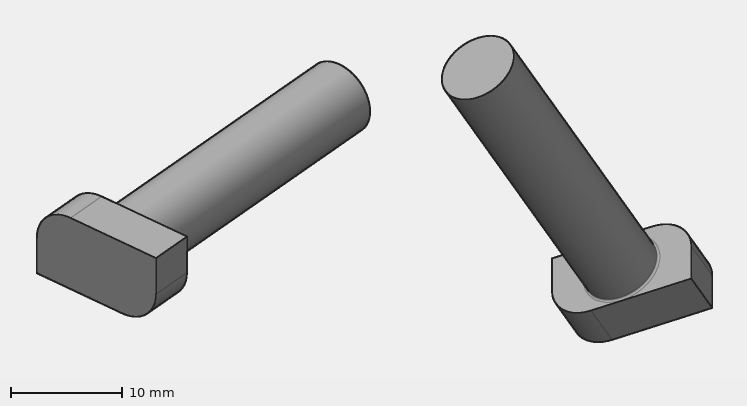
import cadquery as cq

total_length = 34.4
head_width = 13.9
head_height = 7.8
head_thickness = 4.4
corner_radius = head_height / 2
shank_diameter = 7.2
neck_fillet = 0.2


def make_head():
    """Rectangular head with two diagonally opposite corners rounded."""
    block = cq.Workplane("XY").box(
        head_width, head_thickness, head_height, centered=(True, False, True)
    )
    upper_left = cq.selectors.BoxSelector(
        (-head_width, 0, 0), (0, head_thickness, head_height)
    )
    lower_right = cq.selectors.BoxSelector(
        (0, 0, -head_height), (head_width, head_thickness, 0)
    )
    corners = cq.selectors.SumSelector(upper_left, lower_right)
    return block.edges("|Y").edges(corners).fillet(corner_radius)


def add_shank(head):
    """Round shank centred on the back of the head, blended in by a small fillet."""
    shank = (
        cq.Workplane("XZ", origin=(0, head_thickness, 0))
        .circle(shank_diameter / 2)
        .extrude(-(total_length - head_thickness))
    )
    neck_zone = cq.selectors.BoxSelector(
        (-shank_diameter / 4, head_thickness - neck_fillet, -shank_diameter / 4),
        (shank_diameter / 4, head_thickness + neck_fillet, shank_diameter / 4),
    )
    return head.union(shank).edges("%CIRCLE").edges(neck_zone).fillet(neck_fillet)


result = add_shank(make_head())